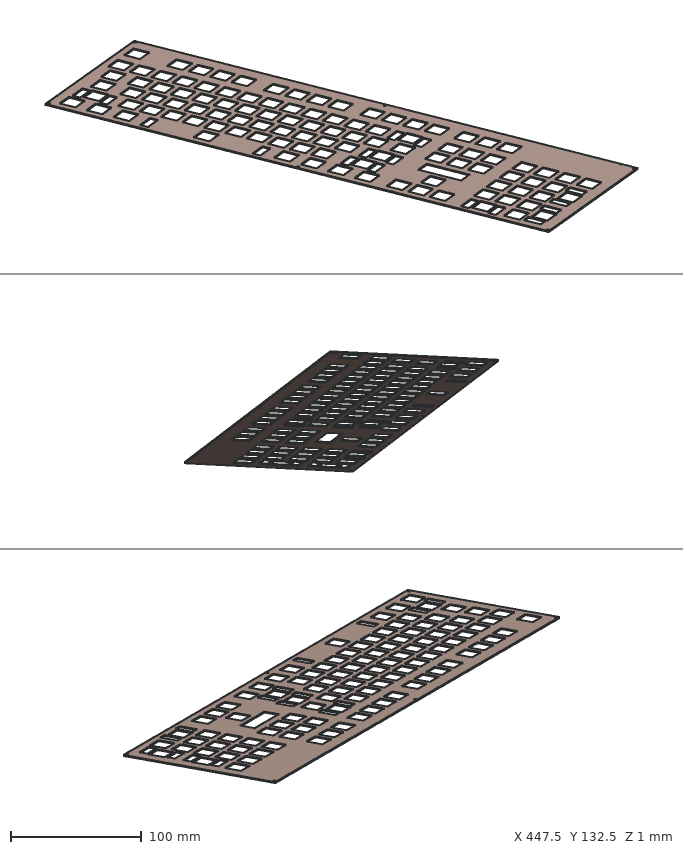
import cadquery as cq

length = 447.5
width = 132.5
thickness = 1.0

typing_block_length = 286.0
typing_block_units = 15
key_unit = typing_block_length / typing_block_units
left_margin = 4.0
front_margin = 3.9
right_margin = 8.0
first_column_x = -length / 2 + left_margin + key_unit / 2
bottom_row_y = -width / 2 + front_margin + key_unit / 2

bottom_row, shift_row, home_row, upper_row, number_row = range(5)
function_row_gap = 0.25
function_row = number_row + 1 + function_row_gap

numpad_gap = 9.0
numpad_size = 4
navigation_size = 3
numpad_column = (length - left_margin - right_margin) / key_unit - numpad_size
navigation_column = numpad_column - numpad_gap / key_unit - navigation_size

switch_field_depth = 114.0
switch_size = switch_field_depth - function_row * key_unit
corner_radius = 0.5

slot_inner_span = 17.0
slot_outer_span = 31.0
space_outer_span = 107.0
slot_front_overhang = 2.0
slot_back_setback = 1.0
slot_width = (slot_outer_span - slot_inner_span) / 2
slot_length = switch_size + slot_front_overhang - slot_back_setback
slot_shift = (slot_front_overhang + slot_back_setback) / 2
slot_offset = (slot_outer_span - slot_width) / 2
space_slot_offset = (space_outer_span - slot_width) / 2

window_length = 38.0
window_width = 12.5
window_shift_x = -1.5
window_shift_y = -1.1

hole_diameter = 1.55
hole_inset = 2.0


def run(start, count):
    """Columns of neighbouring single keys."""
    return [start + i for i in range(count)]


navigation_columns = run(navigation_column, navigation_size)
numpad_columns = run(numpad_column, numpad_size)
middle_navigation_column = navigation_columns[1]
last_numpad_column = numpad_columns[-1]

plain_columns = {
    function_row: [0] + run(2, 4) + run(6.5, 4) + run(11, 4) + navigation_columns,
    number_row: run(0, 13) + navigation_columns + numpad_columns,
    upper_row: [0.25] + run(1.5, 12) + [13.75] + navigation_columns + numpad_columns[:3],
    home_row: [0.375] + run(1.75, 11) + numpad_columns[:3],
    shift_row: run(2.25, 10) + [middle_navigation_column] + numpad_columns[:3],
    bottom_row: (
        [0.125, 1.375, 2.625, 10.125, 11.375, 12.625, 13.875]
        + navigation_columns
        + [numpad_columns[2]]
    ),
}
plain_keys = [(column, row) for row, columns in plain_columns.items() for column in columns]

space_key = (6.375, bottom_row)
wide_keys = [
    (13.5, number_row),
    (13.375, home_row),
    (0.625, shift_row),
    (13.125, shift_row),
    (numpad_column + 0.5, bottom_row),
]
tall_keys = [
    (last_numpad_column, home_row + 0.5),
    (last_numpad_column, bottom_row + 0.5),
]


def key_point(column, row):
    """Position of a key centre on the plate."""
    return (first_column_x + column * key_unit, bottom_row_y + row * key_unit)


def wide_key_slots(key, offset):
    """Slot centres left and right of a wide key."""
    x, y = key_point(*key)
    return [(x + side * offset, y - slot_shift) for side in (-1, 1)]


def tall_key_slots(key):
    """Slot centres in front of and behind a tall key, whose overhang points left."""
    x, y = key_point(*key)
    return [(x - slot_shift, y + side * slot_offset) for side in (-1, 1)]


def rounded_cutters(points, size_x, size_y):
    """Blocks with rounded upright edges, one at each point."""
    return (
        cq.Workplane("XY")
        .pushPoints(points)
        .rect(size_x, size_y)
        .extrude(thickness)
        .edges("|Z")
        .fillet(corner_radius)
    )


all_keys = plain_keys + wide_keys + tall_keys + [space_key]
switches = rounded_cutters([key_point(*key) for key in all_keys], switch_size, switch_size)

wide_slot_points = wide_key_slots(space_key, space_slot_offset)
for key in wide_keys:
    wide_slot_points += wide_key_slots(key, slot_offset)
tall_slot_points = []
for key in tall_keys:
    tall_slot_points += tall_key_slots(key)
wide_slots = rounded_cutters(wide_slot_points, slot_width, slot_length)
tall_slots = rounded_cutters(tall_slot_points, slot_length, slot_width)

window_x, window_y = key_point(middle_navigation_column, home_row)
window_centre = (window_x + window_shift_x, window_y + window_shift_y)
window = cq.Workplane("XY").center(*window_centre).rect(window_length, window_width).extrude(thickness)

hole_x = length / 2 - hole_inset
hole_y = width / 2 - hole_inset
hole_points = [(x, y) for x in (-hole_x, 0, hole_x) for y in (-hole_y, hole_y)]
holes = cq.Workplane("XY").pushPoints(hole_points).circle(hole_diameter / 2).extrude(thickness)

plate = cq.Workplane("XY").rect(length, width).extrude(thickness)
for cutter in (switches, wide_slots, tall_slots, window, holes):
    plate = plate.cut(cutter)

result = plate